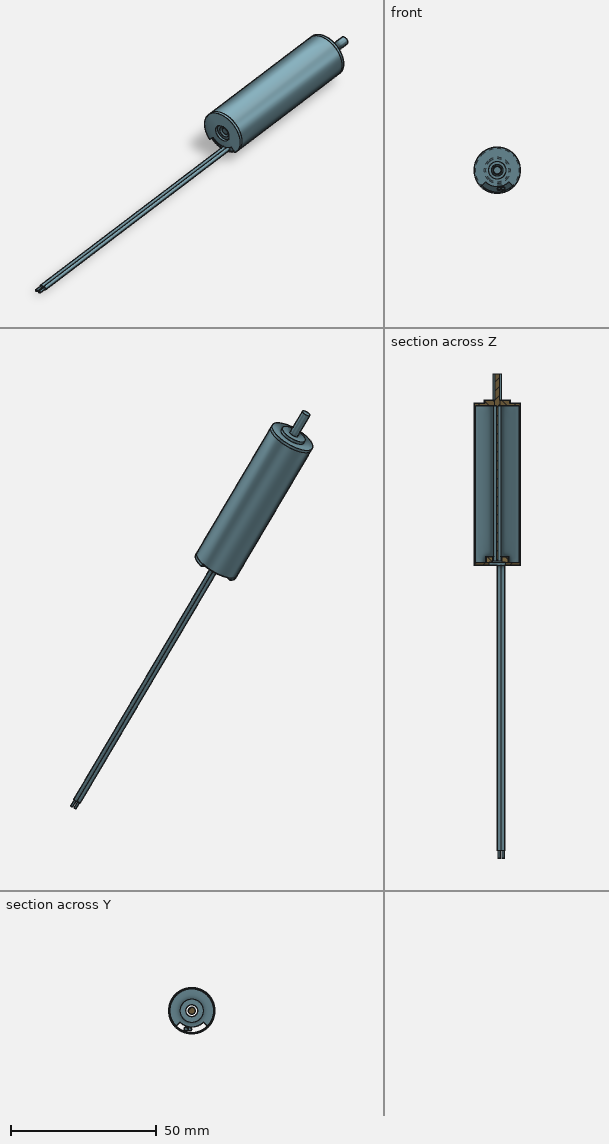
import cadquery as cq
import math

TOTAL_LENGTH = 166.5
SHAFT_TIP_Y = TOTAL_LENGTH / 2
WIRE_TIP_Y = -TOTAL_LENGTH / 2

BODY_DIAMETER = 16.0
BODY_LENGTH = 55.8
CAP_THICKNESS = 1.0
TUBE_WALL = 0.5

PILOT_DIAMETER = 9.0
PILOT_HEIGHT = 1.0
SHAFT_DIAMETER = 3.0
SHAFT_STICKOUT = 9.0

CAP_HOLE_DIAMETER = 6.0
BEARING_DIAMETER = 8.0
BEARING_BORE = 4.0
BEARING_LENGTH = 2.0
REAR_SHAFT_DIAMETER = 2.5
SHAFT_RECESS = 1.5
NOTCH_RADIUS = 5.7
NOTCH_ANGLE = 90.0

WIRE_DIAMETER = 1.3
CORE_DIAMETER = 0.8
CORE_LENGTH = 2.7
WIRE_COUNT = 2
FIRST_WIRE_X = WIRE_DIAMETER / 2
WIRE_Z = -6.3

PILOT_FACE_Y = SHAFT_TIP_Y - SHAFT_STICKOUT
FRONT_FACE_Y = PILOT_FACE_Y - PILOT_HEIGHT
REAR_FACE_Y = FRONT_FACE_Y - BODY_LENGTH
TUBE_FRONT_Y = FRONT_FACE_Y - CAP_THICKNESS
TUBE_REAR_Y = REAR_FACE_Y + CAP_THICKNESS
BEARING_FRONT_Y = TUBE_REAR_Y + BEARING_LENGTH
SHAFT_REAR_Y = REAR_FACE_Y + SHAFT_RECESS


def cylinder(diameter, front_y, rear_y, x=0.0, z=0.0):
    """A cylinder parallel to Y that runs from front_y back to rear_y."""
    plane = cq.Plane(origin=(x, front_y, z), xDir=(1, 0, 0), normal=(0, -1, 0))
    return cq.Workplane(plane).circle(diameter / 2).extrude(front_y - rear_y)


def make_housing():
    """The tube between the two caps."""
    outside = cylinder(BODY_DIAMETER, TUBE_FRONT_Y, TUBE_REAR_Y)
    bore = cylinder(BODY_DIAMETER - 2 * TUBE_WALL, TUBE_FRONT_Y, TUBE_REAR_Y)
    return outside.cut(bore)


def make_front_cap():
    """The front disc with its round pilot and the shaft hole."""
    disc = cylinder(BODY_DIAMETER, FRONT_FACE_Y, TUBE_FRONT_Y)
    pilot = cylinder(PILOT_DIAMETER, PILOT_FACE_Y, FRONT_FACE_Y)
    hole = cylinder(SHAFT_DIAMETER, PILOT_FACE_Y, TUBE_FRONT_Y)
    return disc.union(pilot).cut(hole)


def make_wire_notch():
    """The sector ring removed from the bottom of the rear cap, where the wires leave."""
    reach = BODY_DIAMETER
    half_angle = math.radians(NOTCH_ANGLE / 2)
    side_x = reach * math.sin(half_angle)
    side_z = -reach * math.cos(half_angle)
    plane = cq.Plane(origin=(0, TUBE_REAR_Y, 0), xDir=(1, 0, 0), normal=(0, -1, 0))
    sector = (
        cq.Workplane(plane)
        .polyline([(0, 0), (side_x, side_z), (-side_x, side_z)])
        .close()
        .extrude(CAP_THICKNESS)
    )
    return sector.cut(cylinder(2 * NOTCH_RADIUS, TUBE_REAR_Y, REAR_FACE_Y))


def make_rear_cap():
    """The rear disc with the center hole and the wire notch."""
    disc = cylinder(BODY_DIAMETER, TUBE_REAR_Y, REAR_FACE_Y)
    hole = cylinder(CAP_HOLE_DIAMETER, TUBE_REAR_Y, REAR_FACE_Y)
    return disc.cut(hole).cut(make_wire_notch())


def make_bearing():
    """The plain ring around the rear end of the shaft, seated against the inside of the rear cap."""
    ring = cylinder(BEARING_DIAMETER, BEARING_FRONT_Y, TUBE_REAR_Y)
    return ring.cut(cylinder(BEARING_BORE, BEARING_FRONT_Y, TUBE_REAR_Y))


def make_shaft():
    """The shaft through the whole motor, thinner behind the front cap."""
    front = cylinder(SHAFT_DIAMETER, SHAFT_TIP_Y, TUBE_FRONT_Y)
    return front.union(cylinder(REAR_SHAFT_DIAMETER, TUBE_FRONT_Y, SHAFT_REAR_Y))


def make_wire(x):
    """One wire whose bare core sticks out of the end of its insulation."""
    insulation = cylinder(WIRE_DIAMETER, TUBE_REAR_Y, WIRE_TIP_Y + CORE_LENGTH, x, WIRE_Z)
    core = cylinder(CORE_DIAMETER, TUBE_REAR_Y, WIRE_TIP_Y, x, WIRE_Z)
    return insulation.union(core)


housing = make_housing()
front_cap = make_front_cap()
rear_cap = make_rear_cap()
bearing = make_bearing()
shaft = make_shaft()
wires = [make_wire(FIRST_WIRE_X + i * WIRE_DIAMETER) for i in range(WIRE_COUNT)]

result = cq.Compound.makeCompound(
    [
        housing.val(),
        front_cap.val(),
        rear_cap.val(),
        bearing.val(),
        shaft.val(),
        *[wire.val() for wire in wires],
    ]
)